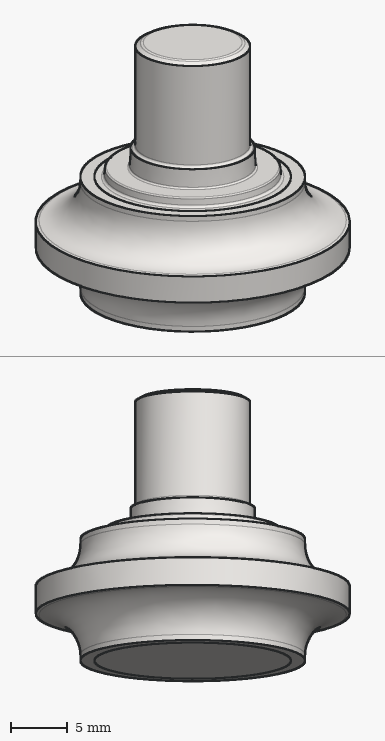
import cadquery as cq
import math

rim_radius = 13.85
roller_width = 10.88
lip_radius = 9.9
lip_height = 0.5
flank_radius = 3.63
rim_bevel_height = 0.08
bore_radius = 8.65

total_height = 23.5
flange_top_radius = 7.72
flange_root_radius = 7.8
flange_top = 11.8
collar_top_radius = 5.48
collar_root_radius = 5.55
collar_top = 13.62
shaft_radius = 5.07
shaft_chamfer_height = 0.33
shaft_chamfer_angle = 30.0

step_fillet = 0.25
collar_root_fillet = 0.17
flange_rim_fillet = 0.15
shaft_end_fillet = 0.5

edge_tolerance = 0.003


def make_roller():
    foot_radius = lip_radius + flank_radius
    lip_edge = roller_width - lip_height
    flank_foot = lip_edge - flank_radius
    rim_edge = flank_foot - rim_bevel_height
    arc_offset = flank_radius * math.sqrt(0.5)
    arc_middle_radius = foot_radius - arc_offset
    arc_middle = lip_edge - arc_offset
    return (
        cq.Workplane("XZ")
        .moveTo(bore_radius, 0)
        .lineTo(lip_radius, 0)
        .lineTo(lip_radius, lip_height)
        .threePointArc(
            (arc_middle_radius, roller_width - arc_middle),
            (foot_radius, roller_width - flank_foot),
        )
        .lineTo(rim_radius, roller_width - rim_edge)
        .lineTo(rim_radius, rim_edge)
        .lineTo(foot_radius, flank_foot)
        .threePointArc((arc_middle_radius, arc_middle), (lip_radius, lip_edge))
        .lineTo(lip_radius, roller_width)
        .lineTo(bore_radius, roller_width)
        .close()
        .revolve(360, (0, 0, 0), (0, 1, 0))
    )


def circle_box(radius, height):
    """Select the edges at the given height that lie within the given radius."""
    reach = radius + edge_tolerance
    return cq.selectors.BoxSelector(
        (-reach, -reach, height - edge_tolerance),
        (reach, reach, height + edge_tolerance),
        boundingbox=True,
    )


def round_circle(body, radius, height, fillet_radius):
    """Fillet the circular edge of the given radius that lies at the given height."""
    smaller_circles = circle_box(radius - 2 * edge_tolerance, height)
    return body.edges(circle_box(radius, height) - smaller_circles).fillet(fillet_radius)


def make_stud():
    chamfer_run = shaft_chamfer_height / math.tan(math.radians(shaft_chamfer_angle))
    shaft_end_radius = shaft_radius - chamfer_run
    stud = (
        cq.Workplane("XZ")
        .moveTo(0, 0)
        .lineTo(bore_radius, 0)
        .lineTo(bore_radius, roller_width)
        .lineTo(flange_root_radius, roller_width)
        .lineTo(flange_top_radius, flange_top)
        .lineTo(collar_root_radius, flange_top)
        .lineTo(collar_top_radius, collar_top)
        .lineTo(shaft_radius, collar_top)
        .lineTo(shaft_radius, total_height - shaft_chamfer_height)
        .lineTo(shaft_end_radius, total_height)
        .lineTo(0, total_height)
        .close()
        .revolve(360, (0, 0, 0), (0, 1, 0))
    )
    rounded_edges = [
        (flange_root_radius, roller_width, step_fillet),
        (flange_top_radius, flange_top, flange_rim_fillet),
        (collar_root_radius, flange_top, collar_root_fillet),
        (shaft_radius, collar_top, step_fillet),
        (shaft_end_radius, total_height, shaft_end_fillet),
    ]
    for radius, height, fillet_radius in rounded_edges:
        stud = round_circle(stud, radius, height, fillet_radius)
    return stud


roller = make_roller()
stud = make_stud()

result = cq.Compound.makeCompound([roller.solids().val(), stud.solids().val()])